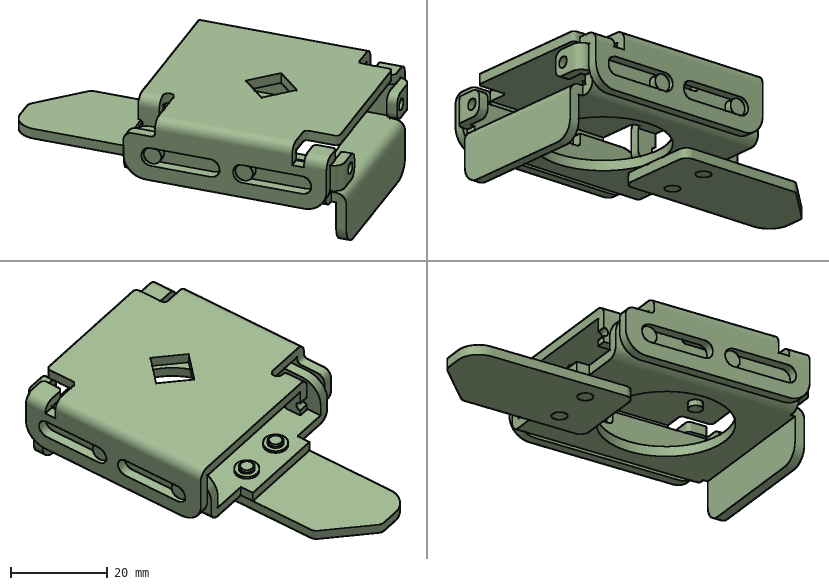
import cadquery as cq

SHEET = 2.3
SMALL_R = 0.9

COVER_LENGTH = 45.2
COVER_HALF_WIDTH = 22.8
COVER_TOP = 14.9
COVER_BOTTOM = 0.5
FLANGE_CORNER_R = 5.0
DIAMOND_X = 24.2
DIAMOND_SIDE = 8.05

SLOT_LENGTH = 17.4
SLOT_WIDTH = 4.2
SLOT_Z = 6.0
SLOT_START = 4.0
SLOT_PITCH = 20.4
BOSS_DIA = 3.9
BOSS_START = 6.2
BOSS_LENGTH = 1.8

CORNER_CUT_X = 37.6
CORNER_CUT_Y = 15.5
CORNER_CUT_BOTTOM = 10.3
LOCK_TAB_X = 40.2
LOCK_TAB_BOTTOM = 10.4
LOCK_TAB_END_Y = 16.9

HOOK_CUT_X = 7.0
HOOK_CUT_Y = -10.8
HOOK_CUT_BOTTOM = 10.9
HOOK_CUT_CORNER_R = 2.0
HOOK_WIDTH = 4.7
HOOK_OUTER_Y = -14.3
HOOK_BOTTOM = 6.1
HOOK_CORNER_R = 1.55
HOOK_NOTCH_Z = 8.5
HOOK_NOTCH_R = 1.0

PEG_DIA = 3.2
PEG_LENGTH = 1.4
PEG_XS = (7.6, 37.1)
PEG_Y = 9.05

BASE_LEFT = -0.85
BASE_RIGHT = 44.05
BASE_END = 47.5
BASE_HALF_WIDTH = 20.25
BASE_TOP = LOCK_TAB_BOTTOM
BASE_EAR_R = 5.0
BASE_HOLE_R = 14.45
FLANGE_NOTCH_LEFT = 15.45
FLANGE_NOTCH_WIDTH = 6.95
FLANGE_NOTCH_BOTTOM = 7.5
LEG_HALF_WIDTH = 17.1
LEG_BOTTOM = -10.05
LEG_CORNER_R = 4.0
END_TAB_BOTTOM = 4.4
END_TAB_INNER_Y = 12.4
END_TAB_CORNER_R = 2.0
END_TAB_HOLE_DIA = 2.5
END_TAB_HOLE_Y = 14.8
END_TAB_HOLE_Z = 7.4

LIP_LEFT = -3.95
TONGUE_LEFT = -29.8
TONGUE_RIGHT = 10.2
TONGUE_HALF_WIDTH = 9.9
TONGUE_CHAMFER = 10.1
TONGUE_ROUND_R = 4.95
TONGUE_SMALL_R = 2.0

RIVET_X = 1.2
RIVET_Y = 5.0
RIVET_DIA = 3.4
RIVET_RIM_DIA = 5.25
RIVET_RIM_HEIGHT = 0.55
RIVET_HEIGHT = 1.3
RIVET_CHAMFER = 0.3


def block(x0, x1, y0, y1, z0, z1):
    """Box between two corners."""
    return cq.Workplane("XY").box(x1 - x0, y1 - y0, z1 - z0, centered=False).translate((x0, y0, z0))


def both_sides(shape):
    """The shape together with its mirror image across the middle plane."""
    return shape.union(shape.mirror("XZ"))


def cover_channel():
    inner_half = COVER_HALF_WIDTH - SHEET
    outer = block(0, COVER_LENGTH, -COVER_HALF_WIDTH, COVER_HALF_WIDTH, COVER_BOTTOM, COVER_TOP)
    outer = outer.edges("|X and >Z").fillet(SHEET)
    outer = outer.edges("|Y and <Z").fillet(FLANGE_CORNER_R)
    inside = block(0, COVER_LENGTH, -inner_half, inner_half, COVER_BOTTOM, COVER_TOP - SHEET)
    diamond = (
        cq.Workplane("XY")
        .rect(DIAMOND_SIDE, DIAMOND_SIDE)
        .extrude(COVER_TOP)
        .rotate((0, 0, 0), (0, 0, 1), 45)
        .translate((DIAMOND_X, 0, 0))
    )
    return outer.cut(inside).cut(diamond)


def flange_slots():
    """Cutter for the two slots that pass through both cover flanges."""
    first = SLOT_START + SLOT_LENGTH / 2
    return (
        cq.Workplane("XZ", origin=(0, COVER_HALF_WIDTH, 0))
        .pushPoints([(first, SLOT_Z), (first + SLOT_PITCH, SLOT_Z)])
        .slot2D(SLOT_LENGTH, SLOT_WIDTH)
        .extrude(2 * COVER_HALF_WIDTH)
    )


def corner_cut():
    """Cutter for the cover's +Y right corner: through the top sheet and the top of the flange."""
    flare_x = COVER_LENGTH - SMALL_R
    flare_y = CORNER_CUT_Y - SMALL_R
    sheet_cut = block(
        CORNER_CUT_X, COVER_LENGTH, CORNER_CUT_Y, COVER_HALF_WIDTH, CORNER_CUT_BOTTOM, COVER_TOP
    )
    sheet_cut = sheet_cut.edges("|Z and <X and <Y").fillet(SMALL_R)
    flare = block(flare_x, COVER_LENGTH, flare_y, CORNER_CUT_Y, COVER_TOP - SHEET, COVER_TOP)
    rounding = cq.Workplane("XY", origin=(flare_x, flare_y, 0)).circle(SMALL_R).extrude(COVER_TOP)
    return sheet_cut.union(flare.cut(rounding))


def lock_tab():
    """Tab at the +Y right corner, bent inwards from the flange just below the top sheet."""
    bar = block(
        LOCK_TAB_X,
        COVER_LENGTH,
        LOCK_TAB_END_Y,
        COVER_HALF_WIDTH,
        CORNER_CUT_BOTTOM,
        LOCK_TAB_BOTTOM + SHEET,
    )
    bar = bar.edges("|X and >Y and >Z").fillet(SHEET)
    bar = bar.edges("|Z and <Y").fillet(SMALL_R)
    inside = block(
        LOCK_TAB_X,
        COVER_LENGTH,
        LOCK_TAB_END_Y,
        COVER_HALF_WIDTH - SHEET,
        CORNER_CUT_BOTTOM,
        LOCK_TAB_BOTTOM,
    )
    return bar.cut(inside)


def hook_cut():
    """Cutter that frees the hook at the cover's -Y left corner."""
    slit_r = (HOOK_CUT_X - HOOK_WIDTH) / 2
    slit_end_y = HOOK_CUT_Y - slit_r
    slit = block(HOOK_WIDTH, HOOK_CUT_X, HOOK_OUTER_Y, slit_end_y, COVER_TOP - SHEET, COVER_TOP)
    slit_end = (
        cq.Workplane("XY", origin=(HOOK_WIDTH + slit_r, slit_end_y, COVER_TOP - SHEET))
        .circle(slit_r)
        .extrude(SHEET)
    )
    corner = block(0, HOOK_CUT_X, -COVER_HALF_WIDTH, HOOK_OUTER_Y, HOOK_CUT_BOTTOM, COVER_TOP)
    corner = corner.edges("|Y and >X and <Z").fillet(SMALL_R)
    bend_zone = block(0, HOOK_WIDTH, HOOK_OUTER_Y, HOOK_OUTER_Y + SHEET, COVER_TOP - SHEET, COVER_TOP)
    flange_corner = block(
        0,
        HOOK_CUT_CORNER_R,
        -COVER_HALF_WIDTH,
        SHEET - COVER_HALF_WIDTH,
        HOOK_CUT_BOTTOM - HOOK_CUT_CORNER_R,
        HOOK_CUT_BOTTOM,
    )
    rounding = (
        cq.Workplane("XZ", origin=(HOOK_CUT_CORNER_R, 0, HOOK_CUT_BOTTOM - HOOK_CUT_CORNER_R))
        .circle(HOOK_CUT_CORNER_R)
        .extrude(COVER_HALF_WIDTH)
    )
    return slit.union(slit_end).union(corner).union(bend_zone).union(flange_corner.cut(rounding))


def hook():
    """Hook bent down from the top sheet, with a half-round notch in its left edge."""
    body = block(0, HOOK_WIDTH, HOOK_OUTER_Y, HOOK_CUT_Y, HOOK_BOTTOM, COVER_TOP)
    body = body.edges("|X and <Y and >Z").fillet(SHEET)
    body = body.edges("|Y and >X and <Z").fillet(HOOK_CORNER_R)
    notch = (
        cq.Workplane("XZ", origin=(0, HOOK_OUTER_Y + SHEET, HOOK_NOTCH_Z)).circle(HOOK_NOTCH_R).extrude(SHEET)
    )
    behind = block(0, HOOK_WIDTH, HOOK_OUTER_Y + SHEET, HOOK_CUT_Y, HOOK_BOTTOM, COVER_TOP - SHEET)
    return body.cut(behind).cut(notch)


def pegs():
    return (
        cq.Workplane("XY", origin=(0, 0, COVER_TOP - SHEET))
        .pushPoints([(x, PEG_Y) for x in PEG_XS])
        .circle(PEG_DIA / 2)
        .extrude(-PEG_LENGTH)
    )


def make_cover():
    cover = cover_channel().cut(flange_slots())
    cover = cover.cut(both_sides(corner_cut())).union(both_sides(lock_tab()))
    cover = cover.cut(hook_cut()).union(hook())
    return cover.union(pegs())


def base_channel():
    inner_half = BASE_HALF_WIDTH - SHEET
    outer = block(BASE_LEFT, BASE_RIGHT, -BASE_HALF_WIDTH, BASE_HALF_WIDTH, 0, BASE_TOP)
    outer = outer.edges("|X and <Z").fillet(SHEET)
    outer = outer.edges("|Y and <X and >Z").fillet(BASE_EAR_R)
    inside = block(BASE_LEFT, BASE_RIGHT, -inner_half, inner_half, SHEET, BASE_TOP)
    hole = cq.Workplane("XY", origin=(DIAMOND_X, 0, 0)).circle(BASE_HOLE_R).extrude(SHEET)
    lip = block(LIP_LEFT, BASE_LEFT, -TONGUE_HALF_WIDTH, TONGUE_HALF_WIDTH, 0, SHEET)
    return outer.cut(inside).cut(hole).union(lip)


def flange_notches():
    """Cutter for the notch in the top edge of both base flanges."""
    notch = block(
        FLANGE_NOTCH_LEFT,
        FLANGE_NOTCH_LEFT + FLANGE_NOTCH_WIDTH,
        -BASE_HALF_WIDTH,
        BASE_HALF_WIDTH,
        FLANGE_NOTCH_BOTTOM,
        BASE_TOP,
    )
    return notch.edges("|Y and <Z").fillet(SMALL_R)


def leg():
    """Leg bent down from the right edge of the base."""
    bar = block(BASE_RIGHT, BASE_END, -LEG_HALF_WIDTH, LEG_HALF_WIDTH, LEG_BOTTOM, SHEET)
    bar = bar.edges("|Y and >X and >Z").fillet(SHEET)
    bar = bar.edges("|X and <Z").fillet(LEG_CORNER_R)
    below_plate = block(BASE_RIGHT, BASE_END - SHEET, -LEG_HALF_WIDTH, LEG_HALF_WIDTH, LEG_BOTTOM, 0)
    return bar.cut(below_plate)


def end_tab():
    """Tab at the right end of the +Y base flange, bent inwards and pierced."""
    bar = block(BASE_RIGHT, BASE_END, END_TAB_INNER_Y, BASE_HALF_WIDTH, END_TAB_BOTTOM, BASE_TOP)
    bar = bar.edges("|Z and >X and >Y").fillet(SHEET)
    bar = bar.edges("|X and <Y").fillet(END_TAB_CORNER_R)
    inside = block(
        BASE_RIGHT, BASE_END - SHEET, END_TAB_INNER_Y, BASE_HALF_WIDTH - SHEET, END_TAB_BOTTOM, BASE_TOP
    )
    hole = (
        cq.Workplane("YZ", origin=(BASE_RIGHT, END_TAB_HOLE_Y, END_TAB_HOLE_Z))
        .circle(END_TAB_HOLE_DIA / 2)
        .extrude(BASE_END - BASE_RIGHT)
    )
    return bar.cut(inside).cut(hole)


def bosses():
    """Round bosses on the outside of the +Y base flange."""
    return (
        cq.Workplane("XZ", origin=(0, BASE_HALF_WIDTH, 0))
        .pushPoints([(BOSS_START, SLOT_Z), (BOSS_START + SLOT_PITCH, SLOT_Z)])
        .circle(BOSS_DIA / 2)
        .extrude(-BOSS_LENGTH)
    )


def rivet_places():
    return cq.Workplane("XY", origin=(0, 0, -SHEET)).pushPoints([(RIVET_X, RIVET_Y), (RIVET_X, -RIVET_Y)])


def rivet_holes():
    """Cutter for the rivet shanks through tongue and base."""
    return rivet_places().circle(RIVET_DIA / 2).extrude(2 * SHEET)


def make_base():
    base = base_channel().cut(flange_notches())
    base = base.union(leg()).union(both_sides(end_tab())).union(both_sides(bosses()))
    return base.cut(rivet_holes())


def make_tongue():
    plate = block(TONGUE_LEFT, TONGUE_RIGHT, -TONGUE_HALF_WIDTH, TONGUE_HALF_WIDTH, -SHEET, 0)
    plate = plate.edges("|Z and >X").fillet(TONGUE_SMALL_R)
    plate = plate.edges("|Z and <X and <Y").fillet(TONGUE_ROUND_R)
    plate = plate.edges("|Z and <X and >Y").chamfer(TONGUE_CHAMFER)
    chamfer_ends = cq.selectors.BoxSelector(
        (TONGUE_LEFT - SHEET, TONGUE_HALF_WIDTH - TONGUE_CHAMFER - SHEET, -2 * SHEET),
        (TONGUE_LEFT + TONGUE_CHAMFER + SHEET, TONGUE_HALF_WIDTH + SHEET, SHEET),
    )
    plate = plate.edges("|Z").edges(chamfer_ends).fillet(TONGUE_SMALL_R)
    return plate.cut(rivet_holes())


def make_rivet(y):
    """Shank flush with the underside of the tongue, with a rim and a chamfered button above the base."""
    foot = cq.Workplane("XY", origin=(RIVET_X, y, -SHEET))
    shank = foot.circle(RIVET_DIA / 2).extrude(2 * SHEET + RIVET_HEIGHT).faces(">Z").chamfer(RIVET_CHAMFER)
    rim = foot.workplane(offset=2 * SHEET).circle(RIVET_RIM_DIA / 2).extrude(RIVET_RIM_HEIGHT)
    return shank.union(rim)


cover = make_cover()
base = make_base()
tongue = make_tongue()
rivets = [make_rivet(y).val() for y in (RIVET_Y, -RIVET_Y)]

result = cq.Compound.makeCompound([cover.val(), base.val(), tongue.val(), *rivets])